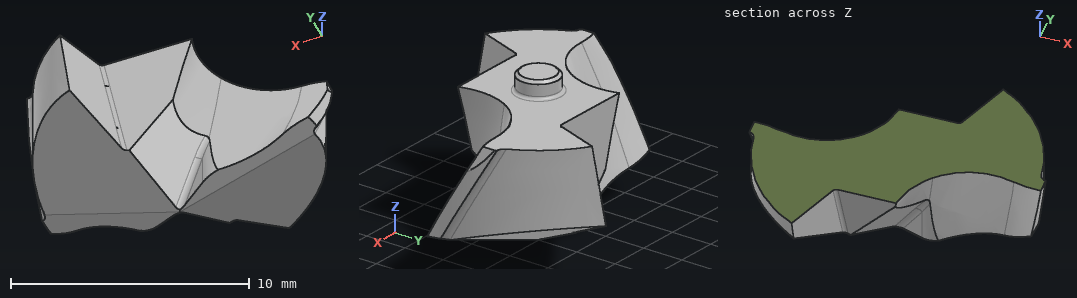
import cadquery as cq
import math


cut_radius = 6.4
body_height = 6.9
body_radius = 6.15

overrun = 1.0
reach = 9.0

helix_lead = 69.0
twist_start = -overrun / 2
twist_height = body_height + overrun - twist_start

flute_radius = 3.31
flute_center = (4.93, -1.85)
flute_arc_start = 225
flute_arc_split = 152
flute_arc_end = 90
lip_end = (6.6, 1.81)
flute_bottom = -4.3

margin_end_angle = 21.2
margin_blend_angle = 3.0
relief_span = 95.0

chamfer_x = 6.0
chamfer_slope = 0.27

notch_wall = 2.89
notch_wall_draft = 1.0
notch_corner_x = -2.35
notch_face_slope = 0.373
notch_lean = 0.18
notch_fillet = 0.18

lip_relief = (0.362, 0.12)
wing_flank = (0.362, 0.388)
gash_facet = (1.083, -0.957)

gash_straight_end = (1.37, -0.82)
gash_bend_radius = 1.6
gash_back_x = -3.0
gash_front_x = 3.5
gash_fillet = 0.27

pin_radius = 1.0
pin_height = 0.85
pin_chamfer = 0.15
pin_base_fillet = 0.15


def both_sides(shape):
    """The shape together with its copy turned half a turn about Z."""
    return [shape, shape.rotate((0, 0, 0), (0, 0, 1), 180)]


def polar(radius, degrees):
    """The XY point at a distance and angle from the axis."""
    angle = math.radians(degrees)
    return (radius * math.cos(angle), radius * math.sin(angle))


def twisted(profile):
    """Sweep a closed wire, drawn as it appears at the top face, along the helix."""
    start_angle = (twist_start - body_height) / helix_lead * 360
    sweep_angle = twist_height / helix_lead * 360
    wire = profile.wire().val().rotate(cq.Vector(), cq.Vector(0, 0, 1), start_angle)
    base = wire.translate(cq.Vector(0, 0, twist_start))
    start_plane = cq.Workplane().workplane(offset=twist_start)
    return start_plane.add(base).toPending().twistExtrude(twist_height, sweep_angle)


def below_plane(slopes):
    """Everything under the plane z = x * slopes[0] + y * slopes[1]."""
    plane = cq.Plane(origin=(0, 0, 0), normal=(slopes[0], slopes[1], -1))
    return cq.Workplane(plane).rect(4 * reach, 4 * reach).extrude(2 * reach)


def on_flute_arc(degrees):
    dx, dy = polar(flute_radius, degrees)
    return (flute_center[0] + dx, flute_center[1] + dy)


def flute():
    """Void of one helical chip flute."""
    inner_middle = (flute_arc_start + flute_arc_split) / 2
    outer_middle = (flute_arc_split + flute_arc_end) / 2
    profile = (
        cq.Workplane()
        .moveTo(*on_flute_arc(flute_arc_start))
        .threePointArc(on_flute_arc(inner_middle), on_flute_arc(flute_arc_split))
        .threePointArc(on_flute_arc(outer_middle), on_flute_arc(flute_arc_end))
        .tangentArcPoint(lip_end, relative=False)
        .lineTo(reach, lip_end[1])
        .lineTo(reach, flute_bottom)
        .close()
    )
    return twisted(profile)


def margin_relief():
    """Void that clears the outside of a wing behind its margin, with a concave step."""
    end_angle = margin_end_angle + relief_span
    start_angle = margin_end_angle + margin_blend_angle
    profile = (
        cq.Workplane()
        .moveTo(*polar(body_radius, end_angle))
        .threePointArc(polar(body_radius, (start_angle + end_angle) / 2), polar(body_radius, start_angle))
        .tangentArcPoint(polar(cut_radius, margin_end_angle), relative=False)
        .lineTo(*polar(reach, margin_end_angle))
        .threePointArc(polar(reach, (start_angle + end_angle) / 2), polar(reach, end_angle))
        .close()
    )
    return twisted(profile)


def notch():
    """Void of the notch on the -Y side, with its inside corner rounded."""

    def corner(z):
        depth = body_height - z
        wall_y = -notch_wall + depth * math.tan(math.radians(notch_wall_draft))
        return (notch_corner_x + notch_lean * depth + notch_face_slope * (notch_wall + wall_y), wall_y)

    def section(z):
        x, y = corner(z)
        return [(x, y), (x - notch_face_slope * (reach + y), -reach), (reach, -reach), (reach, y)]

    bottom = -overrun
    top = body_height + overrun
    middle = (bottom + top) / 2
    return (
        cq.Workplane()
        .workplane(offset=bottom)
        .polyline(section(bottom))
        .close()
        .workplane(offset=top - bottom)
        .polyline(section(top))
        .close()
        .loft(ruled=True)
        .edges(cq.selectors.NearestToPointSelector((*corner(middle), middle)))
        .fillet(notch_fillet)
    )


def gash():
    """Void between the gash wall and the gash facet, with the valley between them rounded."""
    x1, y1 = gash_straight_end
    turn = math.atan2(-y1, x1)
    bend_end = (x1 + gash_bend_radius * math.sin(turn), y1 - gash_bend_radius * (1 - math.cos(turn)))
    back_y = gash_back_x * y1 / x1
    void = (
        cq.Workplane()
        .workplane(offset=-reach)
        .moveTo(gash_back_x, back_y)
        .lineTo(x1, y1)
        .tangentArcPoint(bend_end, relative=False)
        .lineTo(gash_front_x, bend_end[1])
        .lineTo(gash_front_x, -reach)
        .lineTo(gash_back_x, -reach)
        .close()
        .extrude(3 * reach)
        .intersect(below_plane(gash_facet))
    )
    valley_x = (gash_back_x + x1) / 2
    valley_y = (back_y + y1) / 2
    valley_z = gash_facet[0] * valley_x + gash_facet[1] * valley_y
    valley = cq.selectors.NearestToPointSelector((valley_x, valley_y, valley_z))
    return void.edges(valley).fillet(gash_fillet)


def margin_chamfer():
    """Void outside the sloping flat at the top corner of the +X wing."""
    rise = body_height + overrun
    return (
        cq.Workplane("XZ")
        .moveTo(chamfer_x + chamfer_slope * body_height, 0)
        .lineTo(chamfer_x - chamfer_slope * overrun, rise)
        .lineTo(reach, rise)
        .lineTo(reach, 0)
        .close()
        .extrude(reach, both=True)
    )


def pin():
    """Pin on the mounting face, chamfered on top and filleted at its foot."""
    flare = pin_radius + pin_base_fillet
    arc_mid = pin_base_fillet * (1 - math.sqrt(0.5))
    foot_top = (pin_radius, body_height + pin_base_fillet)
    return (
        cq.Workplane("XZ")
        .moveTo(0, body_height - pin_height)
        .lineTo(flare, body_height - pin_height)
        .lineTo(flare, body_height)
        .threePointArc((pin_radius + arc_mid, body_height + arc_mid), foot_top)
        .lineTo(pin_radius, body_height + pin_height - pin_chamfer)
        .lineTo(pin_radius - pin_chamfer, body_height + pin_height)
        .lineTo(0, body_height + pin_height)
        .close()
        .revolve(360, (0, 0, 0), (0, 1, 0))
    )


voids = [
    flute(),
    margin_relief(),
    notch(),
    margin_chamfer(),
    below_plane(lip_relief),
    below_plane(wing_flank),
    gash(),
]

body = cq.Workplane().circle(cut_radius).extrude(body_height)
for void in voids:
    for copy in both_sides(void):
        body = body.cut(copy)

result = body.union(pin())